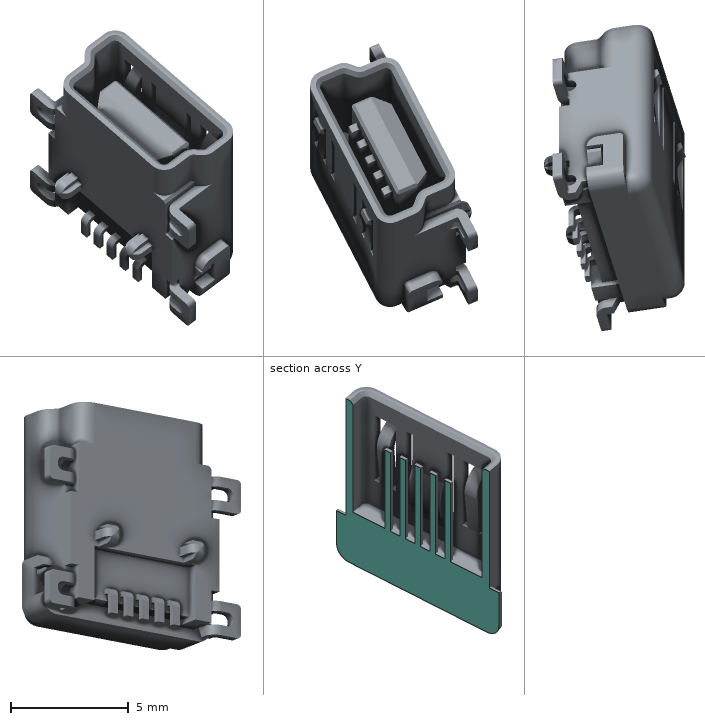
import cadquery as cq
import math


height = 9.2
body_front = 0.04
body_back = 3.96
shell_half_width = 3.85
wall = 0.42
corner_radius = 0.68
housing_half_width = shell_half_width - wall

mouth_base = 6.98
shoulder_y = 2.45
lower_half_width = 3.32
shoulder_angle = 47
lip_width = 0.24
lip_depth = 0.17
cavity_floor = 2.97
collar_top = 7.38
collar_back = 1.78
collar_chamfer = 0.12

housing_bottom = 0.49
cover_front = 1.35
side_wall_bottom = 0.58
side_leg_slope = [(1.03, side_wall_bottom), (0.76, 0)]
recess_half_width = 2.61
recess_back = 0.51
recess_top = 2.89
recess_bottom = 0.71

tab_half_span = 4.95
tab_height = 1.49
tab_tops = (mouth_base, tab_height)
tab_corner_radius = 0.2
notch_depth = 0.495
bend_outer_radius = notch_depth
bend_inner_radius = bend_outer_radius - wall
notch_ranges = ((5.11, mouth_base), (0, 1.91))
tab_slot_width = 0.6
tab_slot_end = 4.54

flap_half_span = 4.35
flap_back = 2.94
flap_top = 2.59
flap_front_radius = 0.495
flap_back_radius = 0.2
flap_notch_back = 2.07
flap_notch_z = (0.89, 2.11)
barb_back = 1.95
barb_bottom = 1.08
barb_edge = 1.8
barb_top = 1.98
barb_tip_x = 4.27
barb_root_x = 3.69

window_bottom = 4.455
window_top = 8.12
latch_window_x = (1.77, 2.93)
latch_x = (2.04, 2.65)
latch_bend_z = 6.53
latch_inner_bend_y = 3.34
latch_inner_curl = (3.52, 7.19)
latch_tip_top = (4.05, 7.6)
latch_tip_bottom = (4.14, 7.3)
latch_outer_curl = (3.92, 7.05)
centre_window_half_width = 1.28
centre_spring_half_width = 0.91
bow_z = (3.76, 6.73)
bow_y = 3.41
bump_half_width = 0.86
bump_z = (4.06, 6.435)
bump_y = 3.16

tongue_top = 8.26
tongue_half_width = 2.32
tongue_back = 2.52
tongue_step_y = 1.62
tongue_front = 0.89
tongue_front_half_width = 1.75
tongue_chamfer = 0.13
tongue_corner_chamfer = 0.09
tongue_slope_drop = 0.4
contact_count = 5
contact_pitch = 0.8
contact_width = 0.33
contact_back = 2.89
contact_top = 7.425
contact_tip_land = 0.06
contact_tip_bevel = 0.03
contact_tip_drop = 0.03

pin_width = 0.37
pin_bottom = 0.07
pin_top = 1.21
pin_thickness = 0.23
pin_bend_radius = 0.35

peg_x = 2.2
peg_radius = 0.43
peg_z = recess_top + peg_radius
peg_arm_width = 0.39
peg_tip = -0.95


def box(x_range, y_range, z_range):
    """Box given by its limits along each axis."""
    size = [high - low for low, high in (x_range, y_range, z_range)]
    corner = (x_range[0], y_range[0], z_range[0])
    return cq.Workplane("XY").box(*size, centered=False).translate(corner)


def centred_box(half_width, y_range, z_range):
    """Box symmetric about X = 0."""
    return box((-half_width, half_width), y_range, z_range)


def both_sides(solid):
    """The solid together with its mirror image across X = 0."""
    return solid.union(solid.mirror("YZ"))


def along_x(points, x_range):
    """Prism along X with a polygonal (Y, Z) section."""
    section = cq.Workplane("YZ").polyline(points).close()
    return section.extrude(x_range[1] - x_range[0]).translate((x_range[0], 0, 0))


def mouth_wire():
    """Outer outline of the mouth: rounded corners and an S-shaped shoulder on each side."""
    angle = math.radians(shoulder_angle)
    outer_r = corner_radius
    inner_r = corner_radius - wall

    def arc_point(radius, turn):
        return radius * (1 - math.cos(turn)), radius * math.sin(turn)

    outer_dx, outer_dy = arc_point(outer_r, angle)
    outer_mid_dx, outer_mid_dy = arc_point(outer_r, angle / 2)
    inner_dx, inner_dy = arc_point(inner_r, angle)
    inner_mid_dx, inner_mid_dy = arc_point(inner_r, angle / 2)
    slope_start = (shell_half_width - outer_dx, shoulder_y - outer_dy)
    slope_end_x = lower_half_width + inner_dx
    slope_end_y = slope_start[1] - (slope_start[0] - slope_end_x) / math.tan(angle)
    inner_end_y = slope_end_y - inner_dy
    corner_gap = corner_radius * (1 - math.sqrt(0.5))

    half = (
        cq.Workplane("XY")
        .moveTo(0, body_back)
        .lineTo(shell_half_width - corner_radius, body_back)
        .threePointArc(
            (shell_half_width - corner_gap, body_back - corner_gap),
            (shell_half_width, body_back - corner_radius),
        )
        .lineTo(shell_half_width, shoulder_y)
        .threePointArc((shell_half_width - outer_mid_dx, shoulder_y - outer_mid_dy), slope_start)
        .lineTo(slope_end_x, slope_end_y)
        .threePointArc(
            (lower_half_width + inner_mid_dx, inner_end_y + inner_mid_dy),
            (lower_half_width, inner_end_y),
        )
        .lineTo(lower_half_width, body_front + corner_radius)
        .threePointArc(
            (lower_half_width - corner_gap, body_front + corner_gap),
            (lower_half_width - corner_radius, body_front),
        )
        .lineTo(0, body_front)
    )
    return half.mirrorY()


def make_body():
    """Solid block of shell and housing, before the cavity is opened."""
    rear = centred_box(shell_half_width, (cover_front, body_back), (0, mouth_base))
    rear = rear.edges("|Z and >Y").fillet(corner_radius)
    rear = rear.faces("<Z").edges("not <Y").fillet(corner_radius)
    front = centred_box(
        housing_half_width, (body_front, cover_front), (housing_bottom, mouth_base)
    )
    side_section = [
        (body_front, 0),
        (body_front, mouth_base),
        (cover_front, mouth_base),
        (cover_front, side_wall_bottom),
    ] + side_leg_slope
    side_wall = along_x(side_section, (housing_half_width, shell_half_width))
    for notch_z in notch_ranges:
        side_wall = side_wall.cut(
            box((housing_half_width, shell_half_width), (body_front, notch_depth), notch_z)
        )
    collar = centred_box(
        housing_half_width, (body_front, collar_back), (mouth_base, collar_top)
    ).edges("|Y and >Z").chamfer(collar_chamfer)
    mouth = mouth_wire().extrude(height - mouth_base).translate((0, 0, mouth_base))
    body = rear.union(front).union(both_sides(side_wall)).union(collar).union(mouth)
    body = body.cut(
        centred_box(recess_half_width, (body_front, recess_back), (0, recess_top))
    )
    return body.cut(
        centred_box(recess_half_width, (body_front, cover_front), (0, recess_bottom))
    )


def make_cavity():
    """Plug opening with a bevelled lip."""
    plug = mouth_wire().offset2D(-wall).extrude(height - cavity_floor)
    lip_angle = math.degrees(math.atan2(wall - lip_width, lip_depth))
    lip = mouth_wire().offset2D(-lip_width).extrude(-lip_depth, taper=lip_angle)
    return plug.translate((0, 0, cavity_floor)).union(lip.translate((0, 0, height)))


def make_tab(top):
    """Unslotted solder tab on the +X side, bent outward from the shell wall."""
    bottom = top - tab_height
    tab = (
        cq.Workplane("XY")
        .moveTo(housing_half_width, notch_depth + bend_inner_radius)
        .lineTo(housing_half_width, 0)
        .lineTo(tab_half_span, 0)
        .lineTo(tab_half_span, wall)
        .lineTo(shell_half_width, wall)
        .lineTo(shell_half_width, notch_depth + bend_inner_radius)
        .close()
        .extrude(tab_height)
        .translate((0, 0, bottom))
    )
    middle = top - tab_height / 2
    inner_corner = cq.selectors.NearestToPointSelector((shell_half_width, wall, middle))
    outer_corner = cq.selectors.NearestToPointSelector((housing_half_width, 0, middle))
    tab = tab.edges(inner_corner).fillet(bend_inner_radius)
    tab = tab.edges(outer_corner).fillet(bend_outer_radius)
    return tab.edges("|Y and >X").fillet(tab_corner_radius)


def make_tab_slot(top):
    """Round-ended slot that runs through a +X tab, round its bend and into the shell wall."""
    middle = top - tab_height / 2
    radius = tab_slot_width / 2
    z_range = (middle - radius, middle + radius)
    tab_end = tab_slot_end - radius
    side_end = notch_depth
    slot = box((housing_half_width, tab_end), (0, side_end), z_range)
    tab_round = cq.Workplane("XZ").center(tab_end, middle).circle(radius).extrude(-side_end)
    side_round = cq.Workplane("YZ").center(side_end, middle).circle(radius).extrude(wall)
    return slot.union(tab_round).union(side_round.translate((housing_half_width, 0, 0)))


def make_flap():
    """Side flap of the rear cover on the +X side, notched around the barb."""
    flap = box((shell_half_width - corner_radius, flap_half_span), (cover_front, flap_back), (0, flap_top))
    flap = flap.edges("|X and >Z and <Y").fillet(flap_front_radius)
    flap = flap.edges("|X and >Z and >Y").fillet(flap_back_radius)
    flap = flap.edges("|Y and >X and <Z").fillet(corner_radius)
    notch = box((shell_half_width, flap_half_span), (cover_front, flap_notch_back), flap_notch_z)
    return flap.cut(notch)


def make_barb_window():
    """Opening in the +X shell wall that the barb passes through."""
    return box(
        (barb_root_x, shell_half_width), (cover_front, barb_back), (barb_bottom, barb_top)
    )


def make_barb():
    """Ramped barb of the housing on the +X side."""
    section = [
        (barb_root_x, barb_bottom),
        (barb_tip_x, barb_edge),
        (barb_tip_x, barb_top),
        (barb_root_x, barb_top),
    ]
    barb = cq.Workplane("XZ").polyline(section).close().extrude(cover_front - barb_back)
    return barb.translate((0, cover_front, 0))


def make_windows():
    """Openings in the back wall around the springs."""
    wall_y = (body_back - wall, body_back)
    window_z = (window_bottom, window_top)
    latch_window = box(latch_window_x, wall_y, window_z)
    centre_gap = box((centre_spring_half_width, centre_window_half_width), wall_y, window_z)
    return both_sides(latch_window.union(centre_gap))


def make_latch():
    """Spring latch on the +X side: leans inward, then curls out through its window."""
    latch = (
        cq.Workplane("YZ")
        .moveTo(body_back - wall, window_bottom)
        .lineTo(latch_inner_bend_y, latch_bend_z)
        .threePointArc(latch_inner_curl, latch_tip_top)
        .lineTo(*latch_tip_bottom)
        .threePointArc(latch_outer_curl, (latch_inner_bend_y + wall, latch_bend_z))
        .lineTo(body_back, window_bottom)
        .close()
        .extrude(latch_x[1] - latch_x[0])
    )
    return latch.translate((latch_x[0], 0, 0))


def make_bulge(half_width, z_range, apex_y):
    """Rounded bulge of the centre spring toward the tongue."""
    inner_face = body_back - wall
    return (
        cq.Workplane("YZ")
        .moveTo(inner_face, z_range[0])
        .threePointArc((apex_y, sum(z_range) / 2), (inner_face, z_range[1]))
        .close()
        .extrude(half_width, both=True)
    )


def make_tongue():
    """Contact tongue with bevelled back and sides and a sloped nose."""
    tongue = (
        cq.Workplane("XY")
        .polyline([
            (-tongue_half_width, tongue_back),
            (tongue_half_width, tongue_back),
            (tongue_half_width, tongue_step_y),
            (tongue_front_half_width, tongue_front),
            (-tongue_front_half_width, tongue_front),
            (-tongue_half_width, tongue_step_y),
        ])
        .close()
        .extrude(tongue_top - cavity_floor)
        .translate((0, 0, cavity_floor))
    )
    tongue = tongue.edges("|Z and >Y").chamfer(tongue_corner_chamfer)
    behind_step = cq.selectors.BoxSelector(
        (-shell_half_width, tongue_step_y, 0), (shell_half_width, body_back, height)
    )
    tongue = tongue.faces(">Z").edges(behind_step).chamfer(tongue_chamfer)
    nose = [
        (tongue_step_y, tongue_top),
        (tongue_front, tongue_top - tongue_slope_drop),
        (tongue_front, tongue_top),
    ]
    return tongue.cut(along_x(nose, (-tongue_half_width, tongue_half_width)))


def make_contact():
    """Contact strip lying on the back of the tongue, with a sloped tip."""
    section = [
        (tongue_back, cavity_floor),
        (tongue_back, contact_top),
        (tongue_back + contact_tip_land, contact_top),
        (contact_back - contact_tip_bevel, contact_top - contact_tip_drop),
        (contact_back, contact_top - contact_tip_drop - contact_tip_bevel),
        (contact_back, cavity_floor),
    ]
    return along_x(section, (-contact_width / 2, contact_width / 2))


def make_pin():
    """Solder pin that leaves the recess and bends down along the solder plane."""
    foot = centred_box(pin_width / 2, (0, recess_back), (pin_bottom, pin_top))
    under = centred_box(
        pin_width / 2, (pin_thickness, recess_back), (pin_bottom, pin_top - pin_thickness)
    )
    under = under.edges("|X and >Z and <Y").fillet(pin_bend_radius - pin_thickness)
    return foot.edges("|X and >Z and <Y").fillet(pin_bend_radius).cut(under)


def make_peg():
    """Cross-shaped locating peg on the +X side, its tip trimmed by two crossing half rounds."""
    half_arm = peg_arm_width / 2
    y_range = (peg_tip, body_front)
    across = (-peg_radius, peg_radius)
    cross = box(across, y_range, (-half_arm, half_arm))
    cross = cross.union(centred_box(half_arm, y_range, across))
    half_round = (
        cq.Workplane("XY")
        .moveTo(-peg_radius, body_front)
        .lineTo(-peg_radius, peg_tip + peg_radius)
        .threePointArc((0, peg_tip), (peg_radius, peg_tip + peg_radius))
        .lineTo(peg_radius, body_front)
        .close()
        .extrude(peg_radius, both=True)
    )
    crossing_round = half_round.rotate((0, 0, 0), (0, 1, 0), 90)
    return cross.intersect(half_round).intersect(crossing_round).translate((peg_x, 0, peg_z))


result = make_body().cut(make_cavity())
result = result.union(make_bulge(centre_spring_half_width, bow_z, bow_y))
result = result.union(make_bulge(bump_half_width, bump_z, bump_y))
result = result.cut(make_windows()).union(both_sides(make_latch()))
result = result.union(make_tongue())

for index in range(contact_count):
    offset = ((index - (contact_count - 1) / 2) * contact_pitch, 0, 0)
    result = result.union(make_contact().translate(offset))
    result = result.union(make_pin().translate(offset))

result = result.union(both_sides(make_flap())).cut(both_sides(make_barb_window()))
result = result.union(both_sides(make_barb()))

for tab_top in tab_tops:
    result = result.union(both_sides(make_tab(tab_top))).cut(both_sides(make_tab_slot(tab_top)))

result = result.union(both_sides(make_peg()))